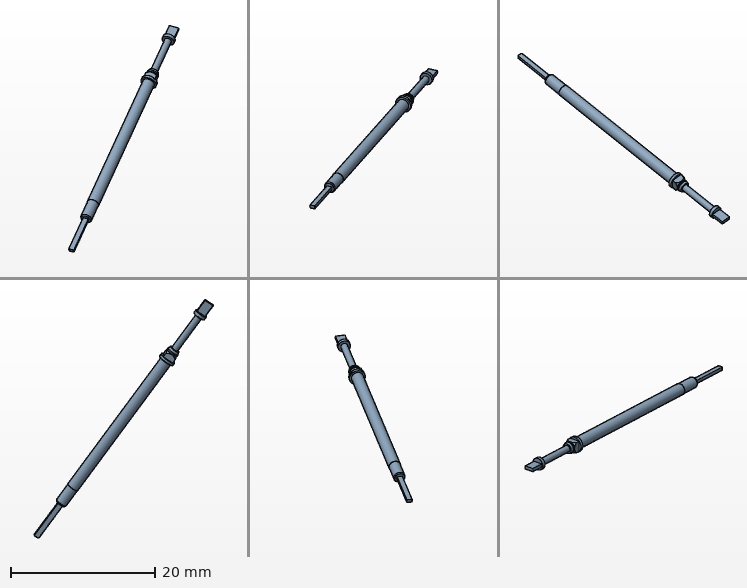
import cadquery as cq


overall_length = 41.6
sleeve_start = 5.82
sleeve_length = 2.95
sleeve_chamfer_length = 0.2
flange_start = 31.3
flange_length = 0.4
square_end = 32.7
nose_band_length = 0.25
nose_end = 33.32
head_start = 39.2
head_length = 0.5

barrel_diameter = 1.7
sleeve_diameter = 1.62
sleeve_end_diameter = 1.4
flange_diameter = 2.3
nose_base_diameter = 1.65
nose_end_diameter = 1.45
rod_diameter = 1.0
head_diameter = 1.8

square_side = 1.6
square_bevel_tip_diameter = 1.45

flats_thickness = 0.5
tail_diameter = 0.87
tail_chamfer = 0.1
blade_diameter = 1.45


def turned(profile):
    """Revolve a (radius, y) outline, closed along the axis, about the Y axis."""
    outline = [(0, profile[0][1])] + profile + [(0, profile[-1][1])]
    return cq.Workplane("XY").polyline(outline).close().revolve(360, (0, 0), (0, 1))


def disc(diameter, start, end):
    """Plain cylinder on the Y axis between two stations."""
    return turned([(diameter / 2, start), (diameter / 2, end)])


def bar(width, thickness, start, end):
    """Rectangular bar centred on the Y axis between two stations."""
    return cq.Workplane("XY").box(width, end - start, thickness).translate((0, (start + end) / 2, 0))


def make_tail():
    """Round rod with two flats and a chamfered tip."""
    radius = tail_diameter / 2
    rod = turned([(radius - tail_chamfer, 0), (radius, tail_chamfer), (radius, sleeve_start)])
    return rod.intersect(bar(tail_diameter, flats_thickness, 0, sleeve_start))


def make_barrel():
    """Barrel tube with its slimmer end sleeve, flange and tapered nose."""
    sleeve_radius = sleeve_diameter / 2
    barrel_radius = barrel_diameter / 2
    flange_radius = flange_diameter / 2
    sleeve_end = sleeve_start + sleeve_length
    flange_end = flange_start + flange_length
    nose_start = square_end + nose_band_length
    tube = turned([
        (sleeve_end_diameter / 2, sleeve_start),
        (sleeve_radius, sleeve_start + sleeve_chamfer_length),
        (sleeve_radius, sleeve_end),
        (barrel_radius, sleeve_end),
        (barrel_radius, flange_start),
        (flange_radius, flange_start),
        (flange_radius, flange_end),
    ])
    nose = turned([
        (barrel_radius, square_end),
        (barrel_radius, nose_start),
        (nose_base_diameter / 2, nose_start),
        (nose_end_diameter / 2, nose_end),
    ])
    return tube.union(make_square(flange_end)).union(nose)


def make_square(start):
    """Square section whose corners are bevelled by a 45 degree cone at the nose end."""
    flange_radius = flange_diameter / 2
    tip_radius = square_bevel_tip_diameter / 2
    cone_start = square_end - (flange_radius - tip_radius)
    envelope = turned([(flange_radius, start), (flange_radius, cone_start), (tip_radius, square_end)])
    return envelope.intersect(bar(square_side, square_side, start, square_end))


def make_plunger():
    """Plunger rod with its round head and flat-sided blade."""
    head_end = head_start + head_length
    rod = disc(rod_diameter, nose_end, head_start)
    head = disc(head_diameter, head_start, head_end)
    blade_round = disc(blade_diameter, head_end, overall_length)
    blade = blade_round.intersect(bar(blade_diameter, flats_thickness, head_end, overall_length))
    return rod.union(head).union(blade)


result = make_tail().union(make_barrel()).union(make_plunger())